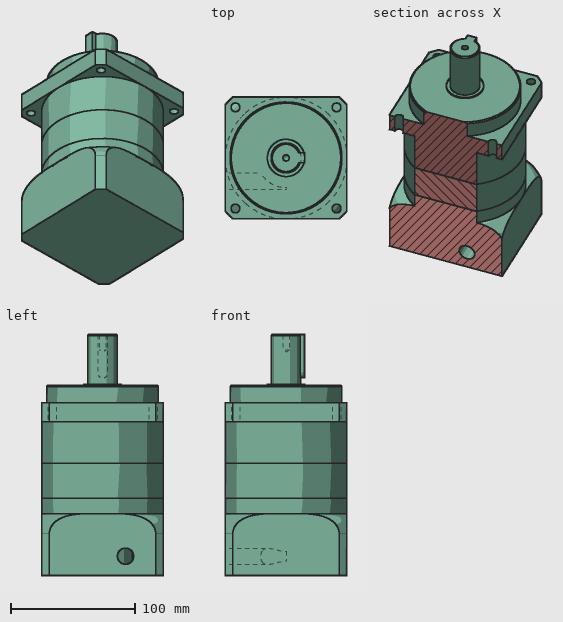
import math

import cadquery as cq

square_side = 98.0
corner_diameter = 130.0
body_diameter = square_side

shoulder_height = 49.9
adapter_height = 62.0
ring_height = 90.5
flange_bottom = 123.5
flange_thickness = 15.5
pilot_height = 14.0
collar_height = 1.0
output_length = 40.0

shoulder_radius = (corner_diameter - body_diameter) / 2
access_hole_diameter = 13.0
access_hole_y = -18.5
access_hole_z = 15.6
hub_diameter = 47.5

pilot_diameter = 90.0
pilot_chamfer = 1.0
bolt_circle_diameter = 115.0
bolt_hole_diameter = 7.0
bolt_count = 4
first_bolt_angle = 45.0

collar_diameter = 30.0
shaft_diameter = 24.0
shaft_chamfer = 1.0
key_width = 8.0
key_length = 35.0
key_reach = 15.0
center_hole_diameter = 5.0
center_hole_depth = 12.5
drill_tip_angle = 118.0

flange_top = flange_bottom + flange_thickness
pilot_top = flange_top + pilot_height
collar_top = pilot_top + collar_height
shaft_top = collar_top + output_length


def cylinder(diameter, bottom, top):
    """Solid cylinder on the gearbox axis between two heights."""
    return cq.Workplane("XY").workplane(offset=bottom).circle(diameter / 2).extrude(top - bottom)


def square_block(bottom, top):
    """Square block whose corners are turned down to the corner diameter."""
    block = cq.Workplane("XY").workplane(offset=bottom).rect(square_side, square_side).extrude(top - bottom)
    return block.intersect(cylinder(corner_diameter, bottom, top))


def make_adapter():
    """Square motor adapter with a rounded shoulder, a round neck and a side access hole."""
    square = cq.Workplane("XY").rect(square_side, square_side).extrude(shoulder_height)
    turned = cylinder(corner_diameter, 0, shoulder_height).faces(">Z").edges().fillet(shoulder_radius)
    neck = cylinder(body_diameter, shoulder_height, adapter_height)
    access_hole = (
        cq.Workplane("YZ", origin=(-square_side / 2, access_hole_y, access_hole_z))
        .circle(access_hole_diameter / 2)
        .extrude(square_side / 2)
        .cut(cylinder(hub_diameter, 0, shoulder_height))
    )
    return square.intersect(turned).union(neck).cut(access_hole)


def make_ring_gear():
    """Plain round middle section."""
    return cylinder(body_diameter, adapter_height, ring_height)


def make_key():
    """Key along the +X side of the shaft, with its lower end rounded about X."""
    round_center = shaft_top - key_length + key_width / 2
    straight = (
        cq.Workplane("XY", origin=(key_reach / 2, 0, round_center))
        .rect(key_reach, key_width)
        .extrude(shaft_top - round_center)
    )
    round_end = cq.Workplane("YZ", origin=(0, 0, round_center)).circle(key_width / 2).extrude(key_reach)
    return straight.union(round_end)


def make_output():
    """Output body: round neck, square mounting flange, pilot, and keyed shaft in one piece."""
    neck = cylinder(body_diameter, ring_height, flange_bottom)
    flange = square_block(flange_bottom, flange_top)
    pilot = cylinder(pilot_diameter, flange_top, pilot_top).faces(">Z").chamfer(pilot_chamfer)
    collar = cylinder(collar_diameter, pilot_top, collar_top)
    shaft = cylinder(shaft_diameter, collar_top, shaft_top).faces(">Z").chamfer(shaft_chamfer)
    output = neck.union(flange).union(pilot).union(collar).union(shaft).union(make_key())
    bolt_holes = (
        cq.Workplane("XY", origin=(0, 0, flange_bottom))
        .polarArray(bolt_circle_diameter / 2, first_bolt_angle, 360, bolt_count)
        .circle(bolt_hole_diameter / 2)
        .extrude(flange_thickness)
    )
    center_hole_radius = center_hole_diameter / 2
    center_hole_bottom = shaft_top - center_hole_depth
    tip_depth = center_hole_radius / math.tan(math.radians(drill_tip_angle / 2))
    center_hole = (
        cq.Workplane("XZ")
        .moveTo(0, shaft_top)
        .lineTo(center_hole_radius, shaft_top)
        .lineTo(center_hole_radius, center_hole_bottom)
        .lineTo(0, center_hole_bottom - tip_depth)
        .close()
        .revolve(360, (0, 0, 0), (0, 1, 0))
    )
    return output.cut(bolt_holes).cut(center_hole)


adapter = make_adapter()
ring_gear = make_ring_gear()
output = make_output()

result = cq.Compound.makeCompound([adapter.val(), ring_gear.val(), output.val()])